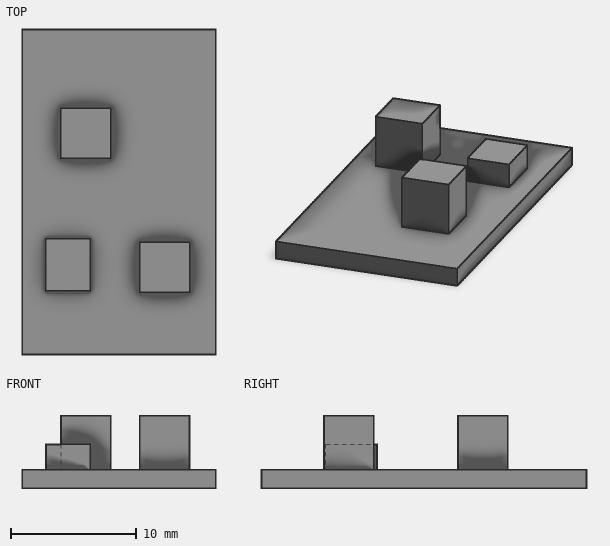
import cadquery as cq

plate_width = 15.5
plate_length = 26.0
plate_thickness = 1.5
overall_height = 5.8

tall_side = 4.0
tall_height = overall_height - plate_thickness

low_width = 3.55
low_length = 4.15
low_height = 2.0

tall_corners = [(3.1, 15.7), (9.4, 5.0)]
low_corner = (1.9, 5.1)


def make_plate():
    """Flat rectangular plate."""
    return cq.Workplane("XY").box(
        plate_width, plate_length, plate_thickness, centered=(True, True, False)
    )


def make_block(corner, width, length, height):
    """Rectangular block standing on the top face of the plate."""
    left = corner[0] - plate_width / 2
    near = corner[1] - plate_length / 2
    block = cq.Workplane("XY").box(width, length, height, centered=False)
    return block.translate((left, near, plate_thickness))


result = make_plate()
for tall_corner in tall_corners:
    result = result.union(make_block(tall_corner, tall_side, tall_side, tall_height))
result = result.union(make_block(low_corner, low_width, low_length, low_height))